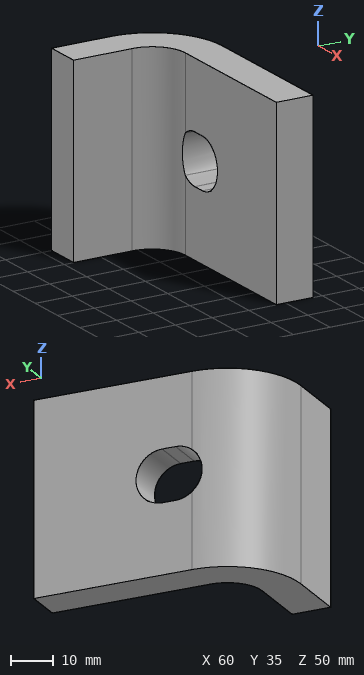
import cadquery as cq
import math

long_leg = 60.0
short_leg = 35.0
height = 50.0
thickness = 10.0
inner_radius = 9.0
outer_radius = inner_radius + thickness

slot_length = 17.0
slot_height = 13.5
slot_center_x = 25.0
slot_radius = slot_height / 2
slot_left_arc_x = slot_center_x - slot_length / 2 + slot_radius

bend_x = outer_radius
bend_y = -outer_radius
cut_margin = 0.6
curve_steps = 12


def bent_plate():
    """L profile with concentric inner and outer bend arcs, centred on Z = 0."""
    diagonal = math.sqrt(0.5)
    outer_mid = (bend_x - outer_radius * diagonal, bend_y + outer_radius * diagonal)
    inner_mid = (bend_x - inner_radius * diagonal, bend_y + inner_radius * diagonal)
    return (
        cq.Workplane("XY")
        .moveTo(0, -short_leg)
        .lineTo(0, bend_y)
        .threePointArc(outer_mid, (bend_x, 0))
        .lineTo(long_leg, 0)
        .lineTo(long_leg, -thickness)
        .lineTo(bend_x, -thickness)
        .threePointArc(inner_mid, (thickness, bend_y))
        .lineTo(thickness, -short_leg)
        .close()
        .extrude(height / 2, both=True)
    )


def flat_slot_cutter():
    """Straight slot, limited to the flat part of the long leg."""
    depth = thickness + 2 * cut_margin
    slot = (
        cq.Workplane("XZ", origin=(slot_center_x, cut_margin, 0))
        .slot2D(slot_length, slot_height)
        .extrude(depth)
    )
    flat_side = cq.Workplane("XY", origin=(bend_x, 0, 0)).box(
        long_leg, long_leg, height, centered=(False, True, True)
    )
    return slot.intersect(flat_side)


def bent_end_wire(axis_distance):
    """Slot end wrapped around the bend, in the XZ plane at this distance from the bend axis.

    Lengths along the slot are kept on the outer bend surface, and the walls point at the bend axis.
    """
    half_sweep = math.acos((slot_left_arc_x - bend_x) / slot_radius)
    y = bend_y + axis_distance
    points = []
    for step in range(curve_steps + 1):
        angle = half_sweep * (1 - 2 * step / curve_steps)
        past_bend = bend_x - slot_left_arc_x + slot_radius * math.cos(angle)
        x = bend_x - axis_distance * math.tan(past_bend / outer_radius)
        points.append(cq.Vector(x, y, slot_radius * math.sin(angle)))
    curve = cq.Edge.makeSpline(points)
    closing_line = cq.Edge.makeLine(points[-1], points[0])
    return cq.Wire.assembleEdges([curve, closing_line])


def bent_slot_cutter():
    """Wedge that continues the slot into the bend with radial walls."""
    inner_wire = bent_end_wire(inner_radius - cut_margin)
    outer_wire = bent_end_wire(outer_radius + cut_margin)
    return cq.Workplane(cq.Solid.makeLoft([inner_wire, outer_wire], True))


result = bent_plate().cut(flat_slot_cutter()).cut(bent_slot_cutter())